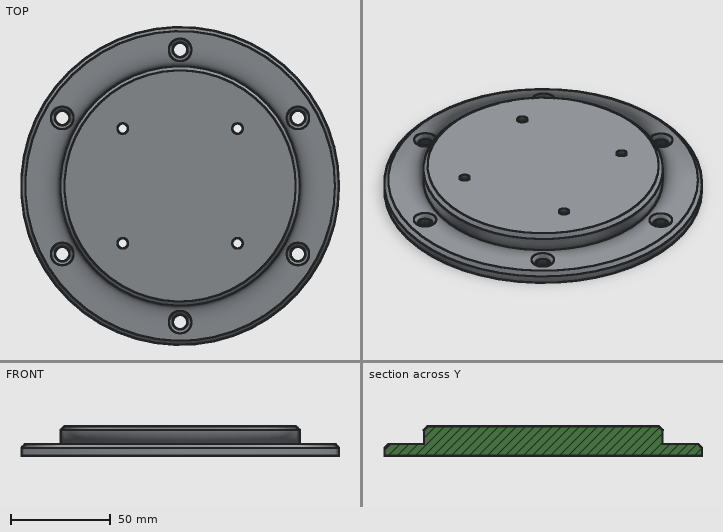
import cadquery as cq

flange_diameter = 159.4
flange_thickness = 6.0
platform_diameter = 120.0
total_height = 15.0
edge_chamfer = 2.0

flange_hole_count = 6
flange_hole_diameter = 7.2
countersink_diameter = 11.3
countersink_angle = 90
bolt_circle_radius = 68.2
first_hole_angle = 90

platform_hole_diameter = 5.1
platform_hole_spacing = 57.5


def chamfered_disc(diameter, height):
    """Disc standing on Z = 0 with a chamfered top rim."""
    disc = cq.Workplane("XY").circle(diameter / 2).extrude(height)
    return disc.faces(">Z").edges().chamfer(edge_chamfer)


flange = chamfered_disc(flange_diameter, flange_thickness)
flange = (
    flange.faces(">Z")
    .workplane(origin=(0, 0, flange_thickness))
    .polarArray(bolt_circle_radius, first_hole_angle, 360, flange_hole_count)
    .cskHole(flange_hole_diameter, countersink_diameter, countersink_angle)
)

platform = chamfered_disc(platform_diameter, total_height)

result = (
    flange.union(platform)
    .faces(">Z")
    .workplane(origin=(0, 0, total_height))
    .rarray(platform_hole_spacing, platform_hole_spacing, 2, 2)
    .hole(platform_hole_diameter)
)